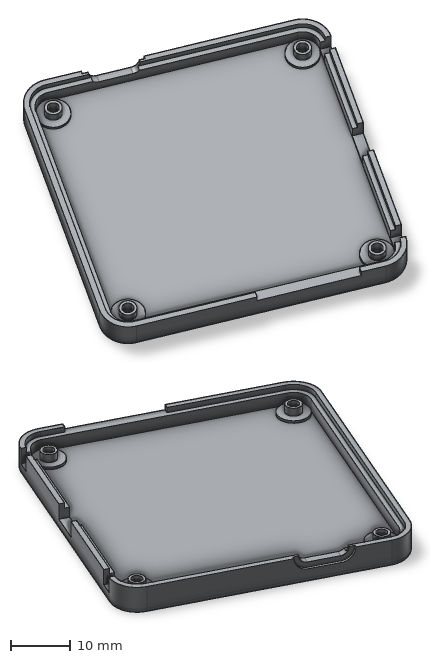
import cadquery as cq

side = 54.0
height = 5.4
corner_radius = 5.0
bottom_fillet = 1.0

wall = 1.95
floor_top = 2.0
lip = 1.0
ledge_depth = 1.0
ledge_top = height - ledge_depth

post_offset = side / 2 - corner_radius
pad_diameter = 6.0
pad_height = 0.5
post_diameter = 3.0
post_height = 2.05
hole_diameter = 2.0

back_notch_floor = 2.4
middle_notch_width = 6.0
corner_notch_width = 2.6

side_notch_start = -0.7
side_notch_end = 17.65

port_y = -10.0
port_width = 9.0
port_depth = 1.5
recess_margin = 1.0
recess_inset = 0.55


def rounded_block(inset, bottom, top):
    """Square block with rounded corners, inset evenly from the outer walls."""
    width = side - 2 * inset
    block = cq.Workplane("XY").workplane(offset=bottom).rect(width, width).extrude(top - bottom)
    return block.edges("|Z").fillet(corner_radius - inset)


def box_between(x_start, x_end, y_start, y_end, bottom):
    """Cutting box reaching from the given level up to the rim."""
    size = (x_end - x_start, y_end - y_start, height - bottom)
    return cq.Workplane("XY").box(*size, centered=False).translate((x_start, y_start, bottom))


def port_cutter(margin, inset):
    """Cutter open at the rim with quarter-round ends, going inset deep into the -X wall.

    The margin is added evenly around the outline of the through opening.
    """
    width = port_width + 2 * margin
    depth = port_depth + margin
    slot = cq.Workplane("YZ").slot2D(width, 2 * depth).extrude(inset)
    return slot.translate((-side / 2, port_y, height))


result = rounded_block(0, 0, height).faces("<Z").edges().fillet(bottom_fillet)
result = result.cut(rounded_block(wall, floor_top, height))
result = result.cut(rounded_block(lip, ledge_top, height))

inner_face = side / 2 - wall
corner_notch_start = post_offset - corner_notch_width
for start, end in (
    (-post_offset, -corner_notch_start),
    (-middle_notch_width / 2, middle_notch_width / 2),
    (corner_notch_start, post_offset),
):
    result = result.cut(box_between(start, end, inner_face, side / 2, back_notch_floor))

result = result.cut(box_between(inner_face, side / 2, side_notch_start, side_notch_end, ledge_top))

result = result.cut(port_cutter(0, wall))
result = result.cut(port_cutter(recess_margin, recess_inset))

post_centres = [(x, y) for x in (-post_offset, post_offset) for y in (-post_offset, post_offset)]
floor_plane = cq.Workplane("XY").workplane(offset=floor_top).pushPoints(post_centres)
result = result.union(floor_plane.circle(pad_diameter / 2).extrude(pad_height))
result = result.union(floor_plane.circle(post_diameter / 2).extrude(post_height))
holes = cq.Workplane("XY").pushPoints(post_centres).circle(hole_diameter / 2).extrude(height)
result = result.cut(holes)